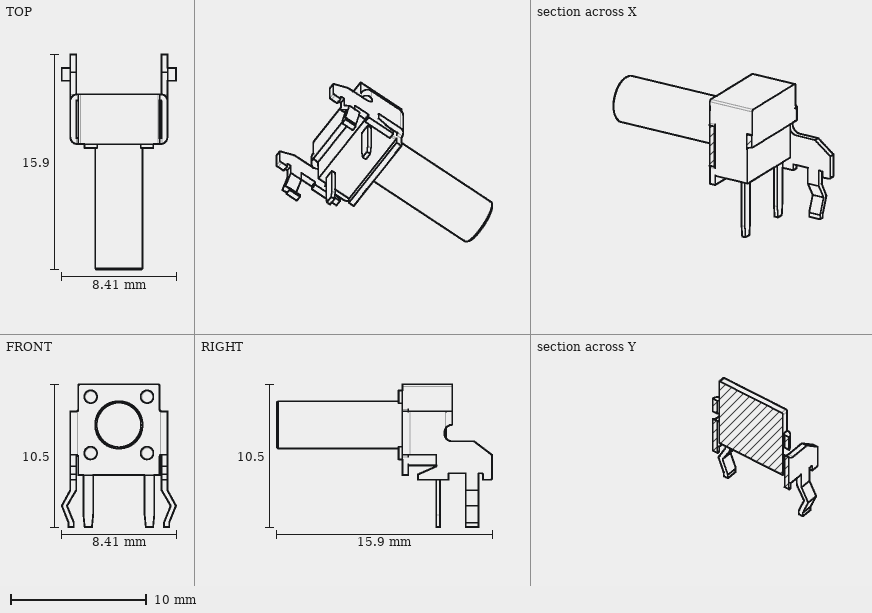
import cadquery as cq
import math


body_half = 3.0
body_depth = 3.68
sheet = 0.45
cover_bottom = -3.7
back_plate_bottom = 0.0
top_edge_radius = 0.14
bottom_edge_radius = 0.1

plunger_diameter = 3.5
plunger_length = 9.25
plunger_chamfer = 0.12
stud_diameter = 0.94
stud_height = 0.29
stud_edge_radius = 0.06
stud_offset = 2.075

arm_outer = 3.58
arm_inner = arm_outer - sheet
bend_inner_radius = 0.08
bend_outer_radius = bend_inner_radius + sheet
bend_center_x = arm_outer - bend_outer_radius
front_bend_center_y = bend_outer_radius
back_bend_center_y = body_depth - bend_outer_radius
arm_top = 1.0
arm_bend_bottom = -2.21
corner_relief_radius = 0.15
notch_radius = 0.6
notch_center_z = back_plate_bottom - notch_radius
tail_top = notch_center_z - notch_radius
tail_back = 6.61
tail_slope_start = 5.28
tail_slope_bottom = -2.21
tail_bottom = -4.04
tail_corner_radius = 0.14
hook_gap_back = 5.93
hook_gap_top = -3.56
hook_gap_radius = 0.08
foot_back = 3.4
foot_tip = 1.15
foot_tip_top = -3.64
foot_root_y = 2.5
foot_root_z = -3.04

legs_width = 8.41
leg_front = 4.65
leg_back = 5.61
leg_bend_top = -4.8
leg_knee_z = -5.95
leg_bend_bottom = -7.18
leg_end = -7.52
leg_knee_outer = legs_width / 2
leg_knee_inner = 3.81
leg_tip_outer = 3.71
leg_tip_inner = 3.31

pin_x = 2.25
pin_root = -1.5
pin_width = 0.73
pin_tip_width = 0.55
pin_front = 2.49
pin_thickness = 0.3
pin_taper_start = -6.6


def extrude_along_x(profile, start, end):
    """Extrude a closed (Y, Z) profile from X = start to X = end."""
    return profile.extrude(end - start).translate((start, 0, 0))


def extrude_along_y(profile, start, end):
    """Extrude a closed (X, Z) profile from Y = start to Y = end."""
    return profile.extrude(start - end).translate((0, start, 0))


def box_between(x_range, y_range, z_range):
    size = [end - start for start, end in (x_range, y_range, z_range)]
    corner = (x_range[0], y_range[0], z_range[0])
    return cq.Workplane("XY").box(*size, centered=False).translate(corner)


def both_sides(feature):
    return feature.union(feature.mirror("YZ"))


def make_body():
    width = (-body_half, body_half)
    core = box_between(width, (0, body_depth - sheet), (-body_half, body_half))
    core = core.edges("|Y and <Z").fillet(bottom_edge_radius)
    back_plate = box_between(width, (0, body_depth), (back_plate_bottom, body_half))
    cover = box_between(width, (0, sheet), (cover_bottom, body_half))
    body = core.union(back_plate).union(cover).clean()
    return body.edges("|Y and >Z").fillet(top_edge_radius)


def make_plunger():
    plunger = cq.Workplane("XZ").circle(plunger_diameter / 2).extrude(plunger_length)
    return plunger.faces("<Y").chamfer(plunger_chamfer)


def make_studs():
    spacing = 2 * stud_offset
    studs = cq.Workplane("XZ").rarray(spacing, spacing, 2, 2)
    studs = studs.circle(stud_diameter / 2).extrude(stud_height)
    return studs.faces("<Y").edges().fillet(stud_edge_radius)


def make_arm_plate():
    """Flat part of the right-hand arm, without its leg."""
    outline = (
        cq.Workplane("YZ")
        .moveTo(front_bend_center_y, arm_top)
        .lineTo(back_bend_center_y, arm_top)
        .lineTo(back_bend_center_y, notch_center_z)
        .lineTo(body_depth, notch_center_z)
        .lineTo(body_depth, tail_top)
        .lineTo(tail_slope_start, tail_top)
        .lineTo(tail_back, tail_slope_bottom)
        .lineTo(tail_back, tail_bottom + tail_corner_radius)
        .radiusArc((tail_back - tail_corner_radius, tail_bottom), tail_corner_radius)
        .lineTo(hook_gap_back, tail_bottom)
        .lineTo(hook_gap_back, hook_gap_top - hook_gap_radius)
        .radiusArc((hook_gap_back - hook_gap_radius, hook_gap_top), -hook_gap_radius)
        .lineTo(foot_back, hook_gap_top)
        .lineTo(foot_back, tail_bottom)
        .lineTo(foot_tip, tail_bottom)
        .lineTo(foot_tip, foot_tip_top)
        .lineTo(foot_root_y, foot_root_z)
        .lineTo(foot_root_y, arm_bend_bottom)
        .lineTo(front_bend_center_y, arm_bend_bottom)
        .close()
    )
    return extrude_along_x(outline, arm_inner, arm_outer)


def make_bend(center_y, direction, bottom):
    """Quarter bend joining the arm to a plate; direction -1 turns forward, +1 backward."""
    diagonal = math.sqrt(0.5)

    def bend_point(radius):
        return (bend_center_x + radius * diagonal, center_y + direction * radius * diagonal)

    profile = (
        cq.Workplane("XY")
        .moveTo(arm_outer, center_y)
        .threePointArc(
            bend_point(bend_outer_radius),
            (bend_center_x, center_y + direction * bend_outer_radius),
        )
        .lineTo(body_half, center_y + direction * bend_outer_radius)
        .lineTo(body_half, center_y + direction * bend_inner_radius)
        .lineTo(bend_center_x, center_y + direction * bend_inner_radius)
        .threePointArc(bend_point(bend_inner_radius), (arm_inner, center_y))
        .close()
    )
    return profile.extrude(arm_top - bottom).translate((0, 0, bottom))


def make_corner_relief(edge_z, direction):
    """Concave corner between the cover side and the edge of the front bend."""
    profile = (
        cq.Workplane("XZ")
        .moveTo(body_half, edge_z)
        .lineTo(body_half, edge_z + direction * corner_relief_radius)
        .radiusArc((body_half + corner_relief_radius, edge_z), -direction * corner_relief_radius)
        .close()
    )
    return extrude_along_y(profile, 0, sheet)


def make_leg():
    """Kinked snap-in leg of the right-hand arm."""
    profile = cq.Workplane("XZ").polyline([
        (arm_outer, hook_gap_top),
        (arm_outer, leg_bend_top),
        (leg_knee_outer, leg_knee_z),
        (leg_tip_outer, leg_bend_bottom),
        (leg_tip_outer, leg_end),
        (leg_tip_inner, leg_end),
        (leg_tip_inner, leg_bend_bottom),
        (leg_knee_inner, leg_knee_z),
        (arm_inner, leg_bend_top),
        (arm_inner, hook_gap_top),
    ]).close()
    return extrude_along_y(profile, leg_front, leg_back)


def make_arm():
    """Complete right-hand arm with its bends, notch and leg."""
    notch = cq.Workplane("YZ").center(body_depth, notch_center_z).circle(notch_radius)
    arm = (
        make_arm_plate()
        .union(make_bend(back_bend_center_y, 1, notch_center_z))
        .cut(extrude_along_x(notch, body_half, arm_outer))
        .union(make_bend(front_bend_center_y, -1, arm_bend_bottom))
        .union(make_leg())
    )
    for edge_z, direction in ((arm_top, 1), (arm_bend_bottom, -1)):
        arm = arm.union(make_corner_relief(edge_z, direction))
    return arm


def make_pin():
    """Right-hand solder pin with a tapered tip."""
    profile = cq.Workplane("XZ").polyline([
        (pin_x - pin_width / 2, pin_root),
        (pin_x + pin_width / 2, pin_root),
        (pin_x + pin_width / 2, pin_taper_start),
        (pin_x + pin_tip_width / 2, leg_end),
        (pin_x - pin_tip_width / 2, leg_end),
        (pin_x - pin_width / 2, pin_taper_start),
    ]).close()
    return extrude_along_y(profile, pin_front, pin_front + pin_thickness)


result = (
    make_body()
    .union(make_plunger())
    .union(make_studs())
    .union(both_sides(make_arm()))
    .union(both_sides(make_pin()))
)